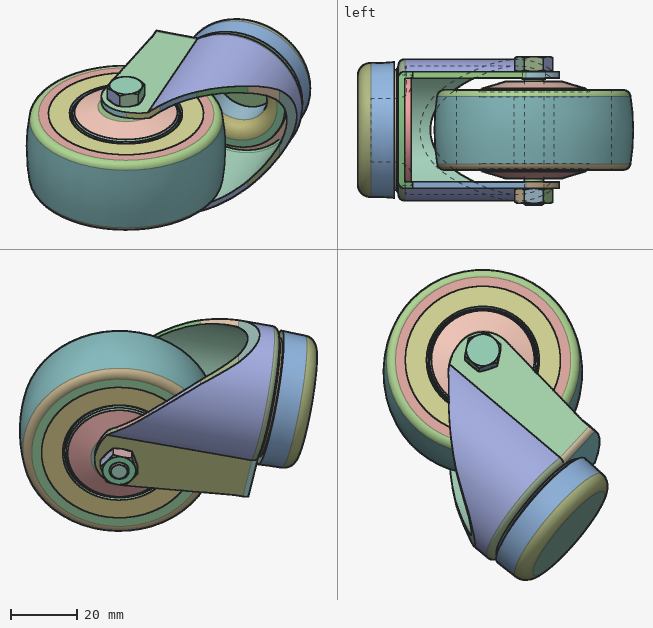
import cadquery as cq
import math


WHEEL_RADIUS = 30.0
WHEEL_HALF_WIDTH = 12.0
TREAD_EDGE_RADIUS = 29.1
TREAD_EDGE_Z = 10.2
SHOULDER_FACE_RADIUS = 26.4
SHOULDER_BULGE = 0.7
CORE_RADIUS = 46.7 / 2
RECESS_RADIUS = 16.5
RECESS_RIM_RADIUS = 17.0
RECESS_FLOOR_Z = 10.0

BARREL_RADIUS = 12.0 / 2
HUB_RADIUS = 16.0
HUB_CONE_BASE_RADIUS = 31.0 / 2
HUB_CONE_BASE_Z = 12.5
HUB_FACE_RADIUS = 8.55
HUB_FACE_Z = 14.6

BOLT_RADIUS = 5.9 / 2
BOLT_TIP_RADIUS = 4.9 / 2
BOLT_TIP_Z = -22.7
HEX_FLATS = 10.0
HEX_HEIGHT = 4.5
SHOULDER_RADIUS = 3.5
SHOULDER_PROTRUSION = 0.3
HEX_SIDES = 6
HEX_HALF_ANGLE = 180 / HEX_SIDES
HEX_CHAMFER_ANGLE = 30

SHEET = 2.0
SWIVEL_X = 21.0
FORK_RADIUS = 21.3
FORK_HALF_WIDTH = 17.6
FORK_TOP_Y = 40.8
BEND_INNER_RADIUS = 0.5
NOTCH_Y = 36.4
NOTCH_X = -4.3
NOSE_X = -7.0
LEG_REACH = 10.0

LEG_FRONT = (-7.8, 2.4)
TOE_FRONT = (-5.7, -4.3)
TOE_BOTTOM = (2.7, -7.55)
TOE_REAR = (8.0, -6.15)
SLOPE_START = (11.95, -3.2)
SLOPE_END = (20.8, 4.8)
SWEEP_MIDDLE = (28.7, 13.2)
SWEEP_END = (32.5, 18.1)
RISE_MIDDLE = (35.9, 23.6)
RISE_END = (38.8, 28.55)
REAR_CORNER_Y = 34.4

CAP_TOP_Y = 53.0
CAP_SIDE_TOP_Y = 49.05
CAP_BOTTOM_Y = 42.0
CAP_TOP_RADIUS = 16.35
CAP_SHOULDER_RADIUS = 20.25
CAP_BOTTOM_RADIUS = 20.5
NECK_RADIUS = 18.2
NECK_FLARE_RADIUS = 19.1
NECK_FLARE_Y = 41.3
BOSS_RADIUS = 33.3 / 2
BOSS_BOTTOM_Y = FORK_TOP_Y - 2 * SHEET
MOUTH_RADIUS = 14.1
MOUTH_ROUND = 4.5
BORE_TOP_Y = CAP_SIDE_TOP_Y


def cylinder(radius, z_low, z_high):
    """Cylinder about the wheel axle."""
    return cq.Workplane("XY", origin=(0, 0, z_low)).circle(radius).extrude(z_high - z_low)


def make_tyre():
    """Crowned tread with rounded shoulders around the wheel core."""
    shoulder_middle = (
        (TREAD_EDGE_RADIUS + SHOULDER_FACE_RADIUS) / 2 + SHOULDER_BULGE,
        (TREAD_EDGE_Z + WHEEL_HALF_WIDTH) / 2 + SHOULDER_BULGE / 2,
    )
    return (
        cq.Workplane("XZ")
        .moveTo(CORE_RADIUS, -WHEEL_HALF_WIDTH)
        .lineTo(SHOULDER_FACE_RADIUS, -WHEEL_HALF_WIDTH)
        .threePointArc((shoulder_middle[0], -shoulder_middle[1]), (TREAD_EDGE_RADIUS, -TREAD_EDGE_Z))
        .threePointArc((WHEEL_RADIUS, 0), (TREAD_EDGE_RADIUS, TREAD_EDGE_Z))
        .threePointArc(shoulder_middle, (SHOULDER_FACE_RADIUS, WHEEL_HALF_WIDTH))
        .lineTo(CORE_RADIUS, WHEEL_HALF_WIDTH)
        .close()
        .revolve(360, (0, 0), (0, 1))
    )


def make_core():
    """Wheel disc with a chamfered round recess in each face and a bore for the hub barrel."""
    half = [
        (CORE_RADIUS, WHEEL_HALF_WIDTH),
        (RECESS_RIM_RADIUS, WHEEL_HALF_WIDTH),
        (RECESS_RADIUS, WHEEL_HALF_WIDTH - (RECESS_RIM_RADIUS - RECESS_RADIUS)),
        (RECESS_RADIUS, RECESS_FLOOR_Z),
        (BARREL_RADIUS, RECESS_FLOOR_Z),
    ]
    mirrored = [(r, -z) for r, z in reversed(half)]
    return cq.Workplane("XZ").polyline(half + mirrored).close().revolve(360, (0, 0), (0, 1))


def make_hub():
    """Spool-shaped hub: a barrel with a shallow cone sitting in each recess."""
    half = [
        (BOLT_RADIUS, HUB_FACE_Z),
        (HUB_FACE_RADIUS, HUB_FACE_Z),
        (HUB_CONE_BASE_RADIUS, HUB_CONE_BASE_Z),
        (HUB_RADIUS, HUB_CONE_BASE_Z - (HUB_RADIUS - HUB_CONE_BASE_RADIUS)),
        (HUB_RADIUS, RECESS_FLOOR_Z),
        (BARREL_RADIUS, RECESS_FLOOR_Z),
    ]
    mirrored = [(r, -z) for r, z in reversed(half)]
    return cq.Workplane("XZ").polyline(half + mirrored).close().revolve(360, (0, 0), (0, 1))


def make_hexagon(z_low):
    """Hexagonal prism with corners on the Y axis, its corners chamfered at both ends."""
    corner_radius = HEX_FLATS / 2 / math.cos(math.radians(HEX_HALF_ANGLE))
    chamfer_height = (corner_radius - HEX_FLATS / 2) * math.tan(math.radians(HEX_CHAMFER_ANGLE))
    prism = (
        cq.Workplane("XY", origin=(0, 0, z_low))
        .polygon(HEX_SIDES, 2 * corner_radius)
        .extrude(HEX_HEIGHT)
        .rotate((0, 0, 0), (0, 0, 1), HEX_HALF_ANGLE)
    )
    envelope = (
        cq.Workplane("XZ", origin=(0, 0, z_low))
        .polyline([
            (0, 0),
            (HEX_FLATS / 2, 0),
            (corner_radius, chamfer_height),
            (corner_radius, HEX_HEIGHT - chamfer_height),
            (HEX_FLATS / 2, HEX_HEIGHT),
            (0, HEX_HEIGHT),
        ])
        .close()
        .revolve(360, (0, 0), (0, 1))
    )
    return prism.intersect(envelope)


def make_shoulder():
    """Thicker part of the bolt, which fills the hole of the upper fork leg."""
    return cylinder(SHOULDER_RADIUS, FORK_HALF_WIDTH - SHEET - SHOULDER_PROTRUSION, FORK_HALF_WIDTH)


def make_bolt():
    """Hexagon bolt through fork, hub and nut, with a chamfered tip."""
    shank = (
        cylinder(BOLT_RADIUS, BOLT_TIP_Z, FORK_HALF_WIDTH)
        .faces("<Z")
        .chamfer(BOLT_RADIUS - BOLT_TIP_RADIUS)
    )
    return shank.union(make_shoulder()).union(make_hexagon(FORK_HALF_WIDTH))


def make_nut():
    """Hexagon nut under the lower fork leg."""
    z_low = -FORK_HALF_WIDTH - HEX_HEIGHT
    return make_hexagon(z_low).cut(cylinder(BOLT_RADIUS, z_low, -FORK_HALF_WIDTH))


def make_fork_block(inset, bend_radius):
    """Block, straight towards -X and round about the swivel axis, rounded at its top edge."""
    radius = FORK_RADIUS - inset
    half_width = FORK_HALF_WIDTH - inset
    joint_x = SWIVEL_X - math.sqrt(radius**2 - half_width**2)
    block = (
        cq.Workplane("XZ", origin=(0, -LEG_REACH, 0))
        .moveTo(-LEG_REACH, -half_width)
        .lineTo(joint_x, -half_width)
        .threePointArc((SWIVEL_X + radius, 0), (joint_x, half_width))
        .lineTo(-LEG_REACH, half_width)
        .close()
        .extrude(-(FORK_TOP_Y - inset + LEG_REACH))
    )
    return block.faces(">Y").edges("not <X").fillet(bend_radius)


def make_side_profile():
    """Prism with the side outline of the fork: round toe at the axle, sloping up to the round end."""
    return (
        cq.Workplane("XY", origin=(0, 0, -FORK_RADIUS))
        .moveTo(-LEG_REACH, FORK_TOP_Y)
        .lineTo(-LEG_REACH, NOTCH_Y)
        .lineTo(NOTCH_X, NOTCH_Y)
        .lineTo(*LEG_FRONT)
        .threePointArc(TOE_FRONT, TOE_BOTTOM)
        .threePointArc(TOE_REAR, SLOPE_START)
        .lineTo(*SLOPE_END)
        .threePointArc(SWEEP_MIDDLE, SWEEP_END)
        .threePointArc(RISE_MIDDLE, RISE_END)
        .lineTo(SWIVEL_X + FORK_RADIUS, REAR_CORNER_Y)
        .lineTo(SWIVEL_X + FORK_RADIUS, FORK_TOP_Y)
        .close()
        .extrude(2 * FORK_RADIUS)
    )


def make_nose_waste():
    """Material beyond the bowed front edge of the top plate."""
    return (
        cq.Workplane("XZ", origin=(0, NOTCH_Y, 0))
        .moveTo(-LEG_REACH, -FORK_HALF_WIDTH)
        .lineTo(NOTCH_X, -FORK_HALF_WIDTH)
        .threePointArc((NOSE_X, 0), (NOTCH_X, FORK_HALF_WIDTH))
        .lineTo(-LEG_REACH, FORK_HALF_WIDTH)
        .close()
        .extrude(-(FORK_TOP_Y - NOTCH_Y))
    )


def make_fork():
    """Pressed sheet fork with holes for the axle bolt and the swivel boss."""
    shell = make_fork_block(0, SHEET).cut(make_fork_block(SHEET, BEND_INNER_RADIUS))
    boss_hole = (
        cq.Workplane("XZ", origin=(SWIVEL_X, BOSS_BOTTOM_Y, 0))
        .circle(BOSS_RADIUS)
        .extrude(-(FORK_TOP_Y - BOSS_BOTTOM_Y))
    )
    bolt_hole = cylinder(BOLT_RADIUS, -FORK_HALF_WIDTH, FORK_HALF_WIDTH)
    return (
        shell.intersect(make_side_profile())
        .cut(make_nose_waste())
        .cut(boss_hole)
        .cut(bolt_hole)
        .cut(make_shoulder())
    )


def make_cap():
    """Domed swivel cap with a neck, a boss through the fork plate and a bell-mouthed bore."""
    round_middle = math.sqrt(0.5)
    bore_radius = MOUTH_RADIUS - MOUTH_ROUND
    dome_middle = (
        CAP_TOP_RADIUS + (CAP_SHOULDER_RADIUS - CAP_TOP_RADIUS) * round_middle,
        CAP_SIDE_TOP_Y + (CAP_TOP_Y - CAP_SIDE_TOP_Y) * round_middle,
    )
    mouth_middle = (
        MOUTH_RADIUS - MOUTH_ROUND * round_middle,
        BOSS_BOTTOM_Y + MOUTH_ROUND * (1 - round_middle),
    )
    return (
        cq.Workplane("XY", origin=(SWIVEL_X, 0, 0))
        .moveTo(0, CAP_TOP_Y)
        .lineTo(CAP_TOP_RADIUS, CAP_TOP_Y)
        .threePointArc(dome_middle, (CAP_SHOULDER_RADIUS, CAP_SIDE_TOP_Y))
        .lineTo(CAP_BOTTOM_RADIUS, CAP_BOTTOM_Y)
        .lineTo(NECK_RADIUS, CAP_BOTTOM_Y)
        .lineTo(NECK_RADIUS, NECK_FLARE_Y)
        .lineTo(NECK_FLARE_RADIUS, FORK_TOP_Y)
        .lineTo(BOSS_RADIUS, FORK_TOP_Y)
        .lineTo(BOSS_RADIUS, BOSS_BOTTOM_Y)
        .lineTo(MOUTH_RADIUS, BOSS_BOTTOM_Y)
        .threePointArc(mouth_middle, (bore_radius, BOSS_BOTTOM_Y + MOUTH_ROUND))
        .lineTo(bore_radius, BORE_TOP_Y)
        .lineTo(0, BORE_TOP_Y)
        .close()
        .revolve(360, (0, 0), (0, 1))
    )


tyre = make_tyre()
core = make_core()
hub = make_hub()
bolt = make_bolt()
nut = make_nut()
fork = make_fork()
cap = make_cap()

result = cq.Compound.makeCompound(
    [tyre.val(), core.val(), hub.val(), bolt.val(), nut.val(), fork.val(), cap.val()]
)